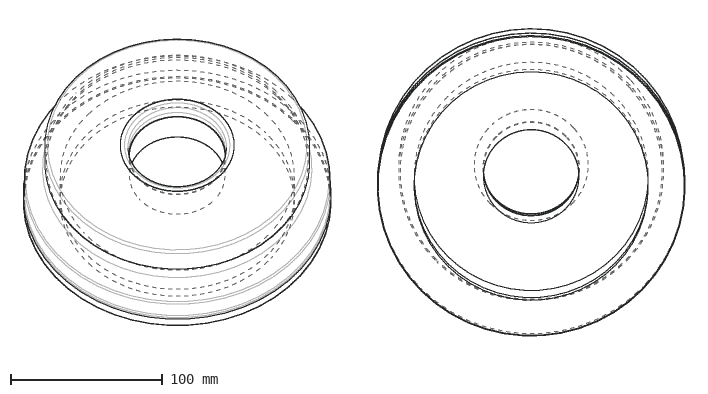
import cadquery as cq
import math

height = 63.5
rim_radius = 101.5

rim_height = 7.7
rim_edge_chamfer = 0.6

crown_radius = 87.4
crown_fillet = 1.8
crown_bottom_z = 44.3
neck_radius = 86.4
neck_fillet = 8.5
flare_top_z = 37.0
skirt_radius = 101.0
skirt_fillet = 2.6
skirt_bottom_z = 11.0
lip_break_radius = 101.4
lip_break_z = 9.3
lip_bottom_z = 8.1

recess_radius = 37.5
recess_depth = 0.5
mouth_radius = 34.7
mouth_fillet = 2.2
throat_radius = 32.0
throat_top_depth = 7.3
bore_radius = 31.5
bore_top_depth = 11.8
cavity_radius = 77.2
cavity_height = 29.0

arc_drop = math.sin(math.radians(45))
arc_bulge = 1 - math.cos(math.radians(45))


def revolve_profile(profile):
    """Close a half profile (first axis = radius, second = height) and turn it about Z."""
    return profile.close().revolve(360, (0, 0, 0), (0, 1, 0))


def make_rim():
    """Flat ring under the cup wall, with a chamfered outer bottom edge."""
    return revolve_profile(
        cq.Workplane("XZ")
        .moveTo(cavity_radius, 0)
        .lineTo(rim_radius - rim_edge_chamfer, 0)
        .lineTo(rim_radius, rim_edge_chamfer)
        .lineTo(rim_radius, rim_height)
        .lineTo(cavity_radius, rim_height)
    )


def draw_cup_outside():
    """Half profile from the cavity edge, up the flared wall, to the flat top."""
    flare_top_radius = neck_radius + neck_fillet * arc_bulge
    neck_z = flare_top_z + neck_fillet * arc_drop
    flare_bottom_radius = skirt_radius - skirt_fillet * arc_bulge
    flare_bottom_z = flare_top_z - (flare_bottom_radius - flare_top_radius)
    skirt_top_z = flare_bottom_z - skirt_fillet * arc_drop
    return (
        cq.Workplane("XZ")
        .moveTo(cavity_radius, rim_height)
        .lineTo(rim_radius, rim_height)
        .lineTo(rim_radius, lip_bottom_z)
        .lineTo(lip_break_radius, lip_break_z)
        .lineTo(skirt_radius, skirt_bottom_z)
        .lineTo(skirt_radius, skirt_top_z)
        .radiusArc((flare_bottom_radius, flare_bottom_z), -skirt_fillet)
        .lineTo(flare_top_radius, flare_top_z)
        .radiusArc((neck_radius, neck_z), neck_fillet)
        .lineTo(crown_radius, crown_bottom_z)
        .lineTo(crown_radius, height - crown_fillet)
        .radiusArc((crown_radius - crown_fillet, height), -crown_fillet)
    )


def add_cup_inside(profile):
    """Continue the half profile down the recess, the rounded mouth, the bore and the cavity."""
    recess_z = height - recess_depth
    throat_z = height - throat_top_depth
    bore_z = height - bore_top_depth
    return (
        profile.lineTo(recess_radius, height)
        .lineTo(recess_radius, recess_z)
        .lineTo(mouth_radius, recess_z)
        .radiusArc((mouth_radius - mouth_fillet, recess_z - mouth_fillet), -mouth_fillet)
        .lineTo(throat_radius, throat_z)
        .lineTo(throat_radius, bore_z)
        .lineTo(bore_radius, bore_z)
        .lineTo(bore_radius, cavity_height)
        .lineTo(cavity_radius, cavity_height)
    )


def make_cup():
    """Flared cup with a stepped bore through its top and a wide cavity below."""
    return revolve_profile(add_cup_inside(draw_cup_outside()))


rim = make_rim()
cup = make_cup()
result = cq.Compound.makeCompound([rim.val(), cup.val()])